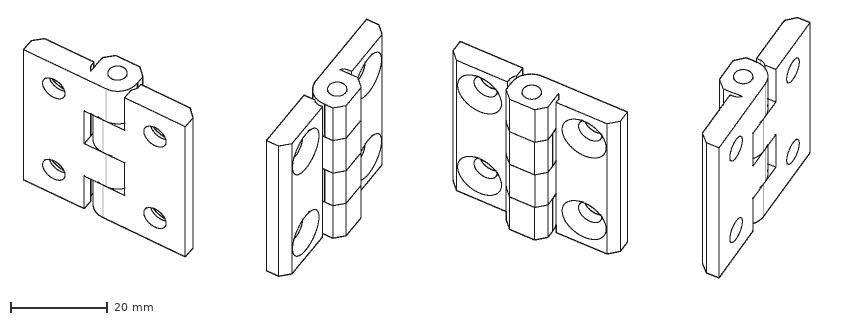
import cadquery as cq

leaf_length = 40.0
leaf_reach = 20.0
thickness = 5.0
bevel = 2.0
knuckle_half_width = 5.0
nose_half_width = 4.95
knuckle_rise = 4.0
knuckle_fillet = 4.6
pin_hole_diameter = 4.0
knuckles_per_hinge = 4
screw_hole_diameter = 5.5
countersink_diameter = 10.5
countersink_depth = 2.5
screw_spacing = 25.0
pocket_half_width = 5.0
relief_half_width = 5.8
relief_straight = 0.9
relief_depth = 2.4
relief_sag = 0.1
leaf_tilt = 0.23

knuckle_length = leaf_length / knuckles_per_hinge
half_length = leaf_length / 2


def plate():
    """Left plate, relieved along its inner top edge."""
    bow_x = -(pocket_half_width + relief_half_width) / 2 - relief_sag
    bow_y = -(relief_straight + relief_depth) / 2 - relief_sag
    return (
        cq.Workplane("XY", origin=(0, 0, -half_length))
        .moveTo(-leaf_reach, -thickness)
        .lineTo(-leaf_reach, -bevel)
        .lineTo(-leaf_reach + bevel, 0)
        .lineTo(-relief_half_width, 0)
        .lineTo(-relief_half_width, -relief_straight)
        .threePointArc((bow_x, bow_y), (-pocket_half_width, -relief_depth))
        .lineTo(-pocket_half_width, -thickness)
        .close()
        .extrude(leaf_length)
    )


def knuckle(bottom_z):
    """One knuckle with its bridge to the left plate."""
    block = (
        cq.Workplane("XY", origin=(0, 0, bottom_z))
        .moveTo(-knuckle_half_width, -thickness)
        .lineTo(-knuckle_half_width, knuckle_rise - bevel)
        .lineTo(-knuckle_half_width + bevel, knuckle_rise)
        .lineTo(knuckle_half_width - bevel, knuckle_rise)
        .lineTo(knuckle_half_width, knuckle_rise - bevel)
        .lineTo(knuckle_half_width, 0)
        .lineTo(nose_half_width, 0)
        .lineTo(nose_half_width, knuckle_fillet - thickness)
        .radiusArc((nose_half_width - knuckle_fillet, -thickness), knuckle_fillet)
        .close()
        .extrude(knuckle_length)
    )
    bore = (
        cq.Workplane("XY", origin=(0, 0, bottom_z))
        .circle(pin_hole_diameter / 2)
        .extrude(knuckle_length)
    )
    return block.cut(bore)


def screw_hole(z):
    """Cutter for one countersunk screw hole through the left plate."""
    hole_radius = screw_hole_diameter / 2
    sink_radius = countersink_diameter / 2
    return (
        cq.Workplane("XY", origin=(-screw_spacing / 2, 0, z))
        .moveTo(0, -thickness)
        .lineTo(hole_radius, -thickness)
        .lineTo(hole_radius, -countersink_depth)
        .lineTo(sink_radius, 0)
        .lineTo(0, 0)
        .close()
        .revolve(360, (0, 0), (0, 1))
    )


def hinge_leaf():
    """Left leaf: its knuckles fill the second and fourth quarters of the length."""
    leaf = plate()
    for slot in range(1, knuckles_per_hinge, 2):
        leaf = leaf.union(knuckle(-half_length + slot * knuckle_length))
    for side in (-1, 1):
        leaf = leaf.cut(screw_hole(side * screw_spacing / 2))
    return leaf


left_leaf = hinge_leaf()

right_leaf = (
    hinge_leaf()
    .rotate((0, 0, 0), (0, 1, 0), 180)
    .rotate((0, 0, 0), (0, 0, 1), -leaf_tilt)
)

result = cq.Compound.makeCompound([left_leaf.val(), right_leaf.val()])